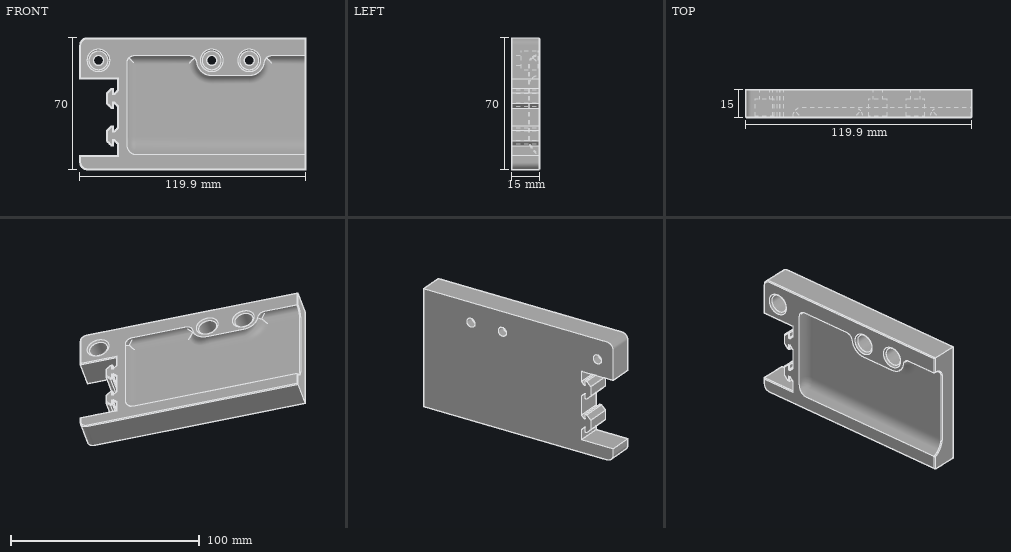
import cadquery as cq

LENGTH = 119.9
THICKNESS = 15.0
HEIGHT = 70.0
CORNER_RADIUS = 4.0
EDGE_CHAMFER = 0.5

NOTCH_DEPTH = 20.0
NOTCH_BOTTOM = 7.7
NOTCH_TOP = 48.2
NOTCH_MIDDLE = (NOTCH_BOTTOM + NOTCH_TOP) / 2
HOOK_SPACING = 19.9
HOOK_FACE_X = 14.1
HOOK_FACE_HALF = 2.8
HOOK_TIP_HALF = 5.3
HOOK_BARB_X = 17.9
HOOK_NECK_HALF = 2.5
HOOK_GROOVE_WIDTH = 0.4

HOLE_Z = HEIGHT - 12.0
SINGLE_HOLE_X = 10.0
BOSS_HOLES_X = (70.0, 89.9)
HOLE_DIAMETER = 5.2
COUNTERBORE_DIAMETER = 10.0
COUNTERBORE_DEPTH = 10.0
COUNTERBORE_CHAMFER = 1.02

POCKET_LEFT = 24.9
POCKET_BOTTOM = 8.0
POCKET_TOP = HEIGHT - 9.5
POCKET_DEPTH = 5.6
POCKET_CORNER_RADIUS = 4.0
FLOOR_FILLET = 4.9
COVE_RADIUS = 10.0
BOSS_RADIUS = 8.0

COVE_AXIS_Y = POCKET_DEPTH - COVE_RADIUS
COVE_AXIS_Z = POCKET_BOTTOM + (COVE_RADIUS**2 - COVE_AXIS_Y**2) ** 0.5

OVERRUN = 6.0

SLACK = 0.1


def box(x_range, y_range, z_range):
    """Box between two limits on each axis."""
    (x0, x1), (y0, y1), (z0, z1) = x_range, y_range, z_range
    return cq.Workplane("XY").box(x1 - x0, y1 - y0, z1 - z0, centered=False).translate((x0, y0, z0))


def prism(outline, y_start, y_end):
    """Extrude a closed XZ sketch along Y between two depths; the sketch normal points to -Y."""
    return outline.extrude(y_start - y_end).translate((0, y_start, 0))


def make_plate():
    """Plate with rounded left corners and the notch cut through it."""
    plate = box((0, LENGTH), (0, THICKNESS), (0, HEIGHT))
    plate = plate.edges("|Y and <X").fillet(CORNER_RADIUS)
    notch = box((-OVERRUN, NOTCH_DEPTH), (-OVERRUN, THICKNESS + OVERRUN), (NOTCH_BOTTOM, NOTCH_TOP))
    return plate.cut(notch)


def make_hook(z):
    """Double-barbed hook whose slanted faces all run at 45 degrees."""
    tip_x = HOOK_FACE_X + HOOK_TIP_HALF - HOOK_FACE_HALF
    groove_x = HOOK_BARB_X + HOOK_GROOVE_WIDTH
    root_half = HOOK_NECK_HALF + NOTCH_DEPTH - groove_x
    upper = [
        (HOOK_FACE_X, HOOK_FACE_HALF),
        (tip_x, HOOK_TIP_HALF),
        (HOOK_BARB_X, HOOK_TIP_HALF),
        (HOOK_BARB_X, HOOK_NECK_HALF),
        (groove_x, HOOK_NECK_HALF),
        (NOTCH_DEPTH, root_half),
    ]
    lower = [(x, -half) for x, half in reversed(upper)]
    outline = cq.Workplane("XZ").polyline(upper + lower).close()
    return prism(outline, 0, THICKNESS).translate((0, 0, z))


def boss_outline():
    """Obround around the two right-hand holes."""
    left, right = BOSS_HOLES_X
    straight = right - left
    return (
        cq.Workplane("XZ")
        .center((left + right) / 2, HOLE_Z)
        .slot2D(straight + 2 * BOSS_RADIUS, 2 * BOSS_RADIUS)
    )


def make_boss():
    """Obround boss standing on the pocket floor with a filleted foot."""
    margin = BOSS_RADIUS + 2 * FLOOR_FILLET
    base = box(
        (BOSS_HOLES_X[0] - margin, BOSS_HOLES_X[1] + margin),
        (POCKET_DEPTH, THICKNESS),
        (HOLE_Z - margin, HOLE_Z + margin),
    )
    boss = base.union(prism(boss_outline(), -OVERRUN, POCKET_DEPTH))
    foot = cq.selectors.BoxSelector(
        (BOSS_HOLES_X[0] - BOSS_RADIUS - SLACK, POCKET_DEPTH - SLACK, HOLE_Z - BOSS_RADIUS - SLACK),
        (BOSS_HOLES_X[1] + BOSS_RADIUS + SLACK, POCKET_DEPTH + SLACK, HOLE_Z + BOSS_RADIUS + SLACK),
    )
    return boss.edges(foot).fillet(FLOOR_FILLET)


def make_pocket():
    """Solid to remove for the pocket, with the boss left standing."""
    right = LENGTH + OVERRUN
    front = COVE_AXIS_Y
    hollow = (
        cq.Workplane("YZ", origin=(POCKET_LEFT, 0, 0))
        .moveTo(front, POCKET_TOP)
        .lineTo(POCKET_DEPTH, POCKET_TOP)
        .lineTo(POCKET_DEPTH, COVE_AXIS_Z)
        .radiusArc((front, COVE_AXIS_Z - COVE_RADIUS), COVE_RADIUS)
        .close()
        .extrude(right - POCKET_LEFT)
    )
    left_edges = hollow.faces("<X").edges("(>Y and |Z) or %CIRCLE")
    top_edge = hollow.edges("|X and >Y and >Z")
    hollow = hollow.newObject(left_edges.vals() + top_edge.vals()).fillet(FLOOR_FILLET)
    walls = box((POCKET_LEFT, right), (front, POCKET_DEPTH), (0, POCKET_TOP))
    walls = walls.cut(prism(boss_outline(), front - OVERRUN, THICKNESS))
    walls = walls.edges("|Y and >Z").edges("not >X").fillet(POCKET_CORNER_RADIUS)
    return hollow.intersect(walls).cut(make_boss())


def chamfer_front(body):
    """Chamfer the front outline; at the right end it follows the open profile of the pocket."""
    pocket_rim = cq.selectors.BoxSelector(
        (POCKET_LEFT - SLACK, -SLACK, POCKET_BOTTOM - SLACK),
        (LENGTH - SLACK, SLACK, POCKET_TOP + SLACK),
    )
    end_profile = cq.selectors.BoxSelector(
        (LENGTH - SLACK, -SLACK, SLACK),
        (LENGTH + SLACK, POCKET_DEPTH + SLACK, HEIGHT - SLACK),
    )
    front_outline = cq.selectors.SubtractSelector(cq.selectors.StringSyntaxSelector("#Y"), pocket_rim)
    outline = body.faces("<Y").edges(front_outline)
    profile = body.faces(">X").edges(end_profile)
    return outline.add(profile).chamfer(EDGE_CHAMFER)


def cut_hole(body, x):
    """Cut one through hole with a counterbore and a chamfered mouth."""
    face = cq.Workplane("XZ").center(x, HOLE_Z)
    body = body.cut(face.circle(HOLE_DIAMETER / 2).extrude(-THICKNESS))
    bore = face.circle(COUNTERBORE_DIAMETER / 2).extrude(-COUNTERBORE_DEPTH)
    flare = (
        face.circle(COUNTERBORE_DIAMETER / 2 + COUNTERBORE_CHAMFER)
        .workplane(offset=-COUNTERBORE_CHAMFER)
        .circle(COUNTERBORE_DIAMETER / 2)
        .loft()
    )
    return body.cut(bore).cut(flare)


body = make_plate()
for side in (-1, 1):
    body = body.union(make_hook(NOTCH_MIDDLE + side * HOOK_SPACING / 2))
body = body.cut(make_pocket())
body = chamfer_front(body)
for hole_x in (SINGLE_HOLE_X, *BOSS_HOLES_X):
    body = cut_hole(body, hole_x)

result = body